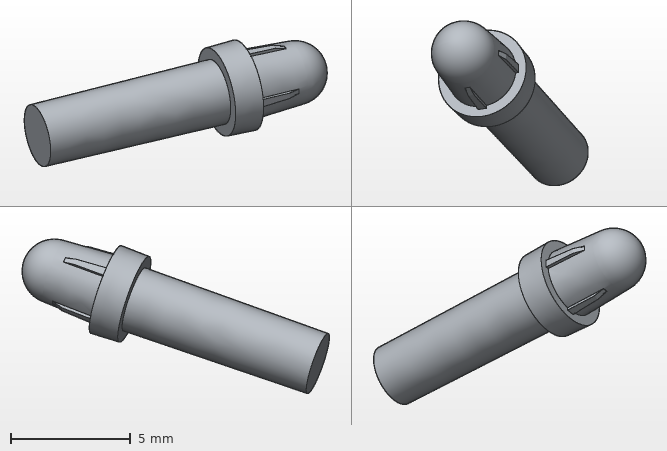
import cadquery as cq
import math

total_length = 13.19
dome_radius = 1.36
collar_length = 1.27
nose_length = 3.68

stem_end_radius = 1.33
stem_root_radius = 1.4
collar_rear_radius = 1.9
collar_front_radius = 3.89 / 2
nose_root_radius = 1.49

rib_count = 4
rib_tip_setback = 1.81
rib_break_setback = 2.31
rib_break_radius = 1.54
rib_root_radius = 1.61
rib_tip_width = 0.22
rib_root_width = 0.37
rib_embed_radius = 1.05

collar_front = total_length - nose_length
collar_rear = collar_front - collar_length
dome_base = total_length - dome_radius
rib_tip = total_length - rib_tip_setback
rib_break = total_length - rib_break_setback


def make_body():
    """Revolve the stem, collar and domed nose about the Y axis."""
    arc_offset = dome_radius * math.sqrt(0.5)
    return (
        cq.Workplane("XY")
        .lineTo(stem_end_radius, 0)
        .lineTo(stem_root_radius, collar_rear)
        .lineTo(collar_rear_radius, collar_rear)
        .lineTo(collar_front_radius, collar_front)
        .lineTo(nose_root_radius, collar_front)
        .lineTo(dome_radius, dome_base)
        .threePointArc((arc_offset, dome_base + arc_offset), (0, total_length))
        .close()
        .revolve(360, (0, 0, 0), (0, 1, 0))
    )


def make_rib():
    """Make the +X rib: its stepped side profile trimmed to a tapering width."""
    nose_taper = (nose_root_radius - dome_radius) / (dome_base - collar_front)
    rib_tip_radius = dome_radius + nose_taper * (dome_base - rib_tip)
    profile = (
        cq.Workplane("XY")
        .moveTo(rib_embed_radius, collar_front)
        .lineTo(rib_root_radius, collar_front)
        .lineTo(rib_break_radius, rib_break)
        .lineTo(rib_tip_radius, rib_tip)
        .lineTo(rib_embed_radius, rib_tip)
        .close()
        .extrude(rib_root_width / 2, both=True)
    )
    width_taper = (
        cq.Workplane("YZ")
        .polyline([
            (collar_front, -rib_root_width / 2),
            (rib_tip, -rib_tip_width / 2),
            (rib_tip, rib_tip_width / 2),
            (collar_front, rib_root_width / 2),
        ])
        .close()
        .extrude(rib_root_radius)
    )
    return profile.intersect(width_taper)


result = make_body()
rib = make_rib()
for index in range(rib_count):
    angle = index * 360 / rib_count
    result = result.union(rib.rotate((0, 0, 0), (0, 1, 0), angle))